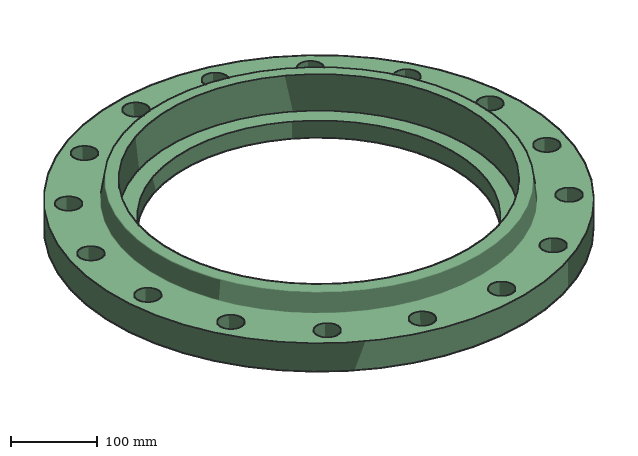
import cadquery as cq
import math

total_height = 73.0
raised_face_height = 7.0
flange_thickness = 39.0
socket_depth = 49.5

flange_diameter = 635.0
raised_face_diameter = 544.0
hub_base_diameter = 504.0
hub_rim_diameter = 495.0
bore_diameter = 419.0
socket_diameter = 462.0

hub_rim_fillet = 2.0
hub_foot_fillet = 1.0

bolt_hole_count = 16
bolt_hole_diameter = 32.0
bolt_circle_diameter = 578.0

flange_top = raised_face_height + flange_thickness
socket_floor = total_height - socket_depth


def ring_body():
    """Flange, raised face, hub, bore and socket as one profile turned about the Z axis."""
    flange_radius = flange_diameter / 2
    raised_face_radius = raised_face_diameter / 2
    hub_rim_radius = hub_rim_diameter / 2
    bore_radius = bore_diameter / 2
    socket_radius = socket_diameter / 2
    profile = [
        (bore_radius, 0),
        (raised_face_radius, 0),
        (raised_face_radius, raised_face_height),
        (flange_radius, raised_face_height),
        (flange_radius, flange_top),
        (hub_base_diameter / 2, flange_top),
        (hub_rim_radius, total_height),
        (socket_radius, total_height),
        (socket_radius, socket_floor),
        (bore_radius, socket_floor),
    ]
    return cq.Workplane("XZ").polyline(profile).close().revolve(360, (0, 0), (0, 1))


def circular_edge(body, diameter):
    """Select the circular edge of the given diameter."""
    return body.edges("%CIRCLE").filter(lambda edge: math.isclose(2 * edge.radius(), diameter))


def round_hub(body):
    """Round the outer rim of the hub and the corner where it meets the flange."""
    rounded_rim = circular_edge(body, hub_rim_diameter).fillet(hub_rim_fillet)
    return circular_edge(rounded_rim, hub_base_diameter).fillet(hub_foot_fillet)


def bolt_holes():
    """Ring of through-hole cutters, the first one on the +X axis."""
    return (
        cq.Workplane("XY")
        .polarArray(bolt_circle_diameter / 2, 0, 360, bolt_hole_count)
        .circle(bolt_hole_diameter / 2)
        .extrude(total_height)
    )


result = round_hub(ring_body()).cut(bolt_holes())